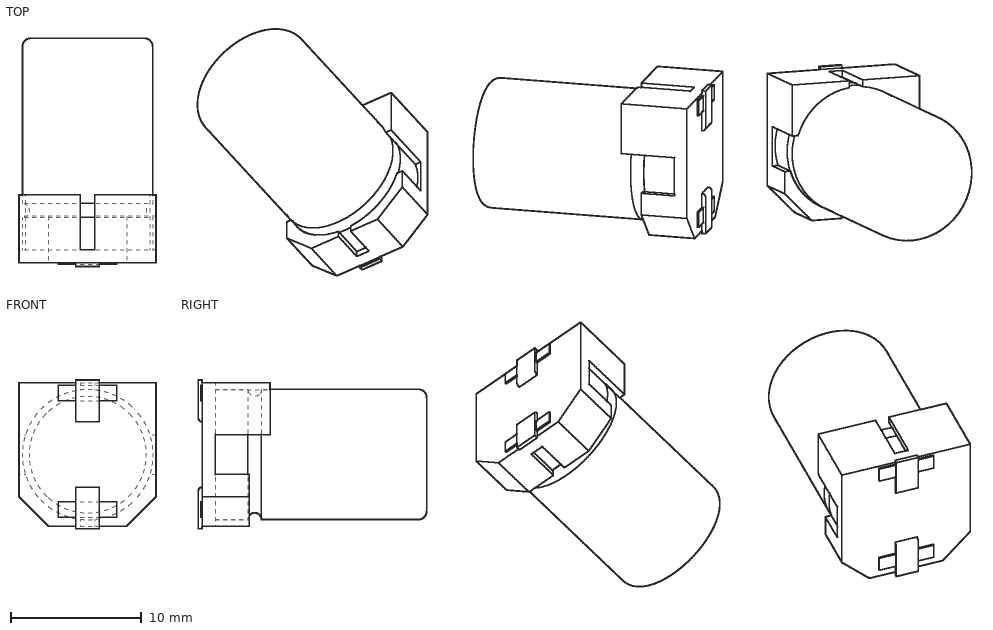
import cadquery as cq


BASE_WIDTH = 10.5
BASE_HEIGHT = 11.0
BASE_CHAMFER = 2.25
FLOOR_THICKNESS = 1.0
UPPER_POST_TOP = 5.2
LOWER_POST_TOP = 3.62
WINDOW_HEIGHT = 3.05
SLOT_WIDTH = 1.1

CAN_RADIUS = 5.0
CAN_END = 17.2
CAN_END_FILLET = 0.65
GROOVE_RADIUS = 0.52
GROOVE_CENTER = 4.02

TERMINAL_WIDTH = 1.8
TERMINAL_LENGTH = 3.2
TERMINAL_THICKNESS = 0.3
TERMINAL_OVERHANG = 0.2
TERMINAL_END_FILLET = 0.29
TERMINAL_OUTER_END = BASE_HEIGHT / 2 + TERMINAL_OVERHANG
TERMINAL_INNER_END = TERMINAL_OUTER_END - TERMINAL_LENGTH

STRIP_WIDTH = 4.45
STRIP_HEIGHT = 1.2
STRIP_THICKNESS = 0.12
UPPER_STRIP_CENTER = 4.7
LOWER_STRIP_CENTER = -4.22


def centered_block(width, y_low, y_high, z_low, z_high):
    """Box centred on X = 0 that spans the given Y and Z ranges."""
    size = (width, y_high - y_low, z_high - z_low)
    center = (0, (y_low + y_high) / 2, (z_low + z_high) / 2)
    return cq.Workplane("XY").box(*size).translate(center)


def make_base():
    """Square base with two chamfered corners and four posts that grip the can."""
    half_height = BASE_HEIGHT / 2
    half_window = WINDOW_HEIGHT / 2
    base = centered_block(BASE_WIDTH, 0, UPPER_POST_TOP, -half_height, half_height)
    base = base.edges("|Y and <Z").chamfer(BASE_CHAMFER)

    above_lower_posts = centered_block(BASE_WIDTH, LOWER_POST_TOP, UPPER_POST_TOP, -half_height, 0)
    window = centered_block(BASE_WIDTH, FLOOR_THICKNESS, UPPER_POST_TOP, -half_window, half_window)
    slot = centered_block(SLOT_WIDTH, FLOOR_THICKNESS, UPPER_POST_TOP, -half_height, half_height)
    bore = (
        cq.Workplane("XZ", origin=(0, FLOOR_THICKNESS, 0))
        .circle(CAN_RADIUS)
        .extrude(FLOOR_THICKNESS - UPPER_POST_TOP)
    )
    return base.cut(above_lower_posts).cut(window).cut(slot).cut(bore)


def make_can():
    """Round can with a rounded closed end and a half-round groove near the base."""
    groove_bottom = (CAN_RADIUS - GROOVE_RADIUS, GROOVE_CENTER)
    groove_end = (CAN_RADIUS, GROOVE_CENTER + GROOVE_RADIUS)
    fillet_end = (CAN_RADIUS - CAN_END_FILLET, CAN_END)
    return (
        cq.Workplane("XY")
        .moveTo(0, FLOOR_THICKNESS)
        .lineTo(CAN_RADIUS, FLOOR_THICKNESS)
        .lineTo(CAN_RADIUS, GROOVE_CENTER - GROOVE_RADIUS)
        .threePointArc(groove_bottom, groove_end)
        .lineTo(CAN_RADIUS, CAN_END - CAN_END_FILLET)
        .radiusArc(fillet_end, -CAN_END_FILLET)
        .lineTo(0, CAN_END)
        .close()
        .revolve(360, (0, 0, 0), (0, 1, 0))
    )


def make_strip(z_center):
    """Thin strip lying flat on the underside of the base."""
    half_height = STRIP_HEIGHT / 2
    return centered_block(STRIP_WIDTH, -STRIP_THICKNESS, 0, z_center - half_height, z_center + half_height)


def make_terminal(is_upper, strip):
    """Flat terminal with a rounded inner end, notched where it passes over its strip."""
    terminal = centered_block(TERMINAL_WIDTH, -TERMINAL_THICKNESS, 0, TERMINAL_INNER_END, TERMINAL_OUTER_END)
    terminal = terminal.edges("|X and <Y and <Z").fillet(TERMINAL_END_FILLET)
    if not is_upper:
        terminal = terminal.mirror("XY")
    return terminal.cut(strip)


bodies = [make_base().solids().val(), make_can().solids().val()]
for is_upper, strip_center in [(True, UPPER_STRIP_CENTER), (False, LOWER_STRIP_CENTER)]:
    strip = make_strip(strip_center)
    terminal = make_terminal(is_upper, strip)
    bodies += [strip.solids().val(), terminal.solids().val()]

result = cq.Compound.makeCompound(bodies)